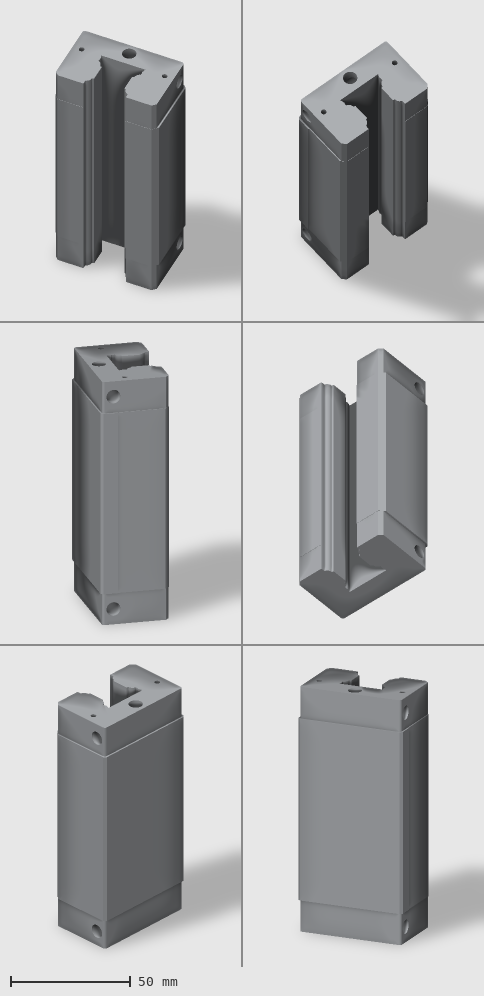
import cadquery as cq
import math


LENGTH = 107.3
CAP_LENGTH = 13.8

BLOCK_WIDTH = 48.0
BLOCK_HALF_WIDTH = BLOCK_WIDTH / 2
BLOCK_HEIGHT = 29.9
BLOCK_TOP_CHAMFER = 1.1
RELIEF_DEPTH = 0.3
RELIEF_HEIGHT = 22.6

CAP_WIDTH = 46.5
CAP_HALF_WIDTH = CAP_WIDTH / 2
CAP_HEIGHT = 29.2
CAP_TOP_RADIUS = 1.1

FOOT_HALF_WIDTH = 21.6
CAP_FOOT_SETBACK = 0.1

CHANNEL_HEIGHT = 18.6
CHANNEL_TOP_HALF_WIDTH = 10.2
LEDGE_HALF_WIDTH = 9.5
LEDGE_HEIGHT = 16.6
LEDGE_DROP = 0.4
WALL_HALF_WIDTH = 9.8
LIP_HALF_WIDTH = 7.0
LIP_BEVEL_RISE = 0.3
LOBE_DIAMETER = 4.8
LOBE_RADIUS = LOBE_DIAMETER / 2
LOBE_CENTER_X = 10.3
LOWER_LOBE_Y = 4.4
UPPER_LOBE_Y = 12.7

PORT_DIAMETER = 6.0
PORT_HEIGHT = 24.5
PORT_INSET = 6.8

SCREW_DIAMETER = 2.4
SCREW_HALF_SPACING = 19.1
SCREW_HEIGHT = 18.5
SCREW_DEPTH = 6.4
SCREW_TIP_ANGLE = 118.0


def make_block():
    """Steel block with chamfered top corners, beveled feet and a stepped -X side."""
    relief_x = -(BLOCK_HALF_WIDTH - RELIEF_DEPTH)
    left_bevel = -relief_x - FOOT_HALF_WIDTH
    right_bevel = BLOCK_HALF_WIDTH - FOOT_HALF_WIDTH
    shoulder = BLOCK_HEIGHT - BLOCK_TOP_CHAMFER
    top_half_width = BLOCK_HALF_WIDTH - BLOCK_TOP_CHAMFER
    outline = [
        (-FOOT_HALF_WIDTH, 0),
        (FOOT_HALF_WIDTH, 0),
        (BLOCK_HALF_WIDTH, right_bevel),
        (BLOCK_HALF_WIDTH, shoulder),
        (top_half_width, BLOCK_HEIGHT),
        (-top_half_width, BLOCK_HEIGHT),
        (-BLOCK_HALF_WIDTH, shoulder),
        (-BLOCK_HALF_WIDTH, RELIEF_HEIGHT),
        (relief_x, RELIEF_HEIGHT),
        (relief_x, left_bevel),
    ]
    block_length = LENGTH - 2 * CAP_LENGTH
    return cq.Workplane("XY", origin=(0, 0, CAP_LENGTH)).polyline(outline).close().extrude(block_length)


def make_cap(base_z):
    """End cap with rounded top corners and beveled feet."""
    bevel_top = CAP_FOOT_SETBACK + CAP_HALF_WIDTH - FOOT_HALF_WIDTH
    outline = [
        (-FOOT_HALF_WIDTH, CAP_FOOT_SETBACK),
        (FOOT_HALF_WIDTH, CAP_FOOT_SETBACK),
        (CAP_HALF_WIDTH, bevel_top),
        (CAP_HALF_WIDTH, CAP_HEIGHT),
        (-CAP_HALF_WIDTH, CAP_HEIGHT),
        (-CAP_HALF_WIDTH, bevel_top),
    ]
    cap = cq.Workplane("XY", origin=(0, 0, base_z)).polyline(outline).close().extrude(CAP_LENGTH)
    return cap.edges("|Z and >Y").fillet(CAP_TOP_RADIUS)


def make_channel_half():
    """The +X half of the rail channel, bounded by two convex lobes and a lip between them."""
    wall_offset = LOBE_CENTER_X - WALL_HALF_WIDTH
    wall_rise = math.sqrt(LOBE_RADIUS**2 - wall_offset**2)
    upper_lobe_end = (WALL_HALF_WIDTH, UPPER_LOBE_Y + wall_rise)
    diagonal = LOBE_RADIUS * math.sqrt(0.5)
    lobe_tip_x = LOBE_CENTER_X - LOBE_RADIUS
    return (
        cq.Workplane("XY")
        .moveTo(0, 0)
        .lineTo(WALL_HALF_WIDTH, 0)
        .lineTo(WALL_HALF_WIDTH, LOWER_LOBE_Y - wall_rise)
        .threePointArc((LOBE_CENTER_X - diagonal, LOWER_LOBE_Y - diagonal), (lobe_tip_x, LOWER_LOBE_Y))
        .lineTo(LIP_HALF_WIDTH, LOWER_LOBE_Y + LIP_BEVEL_RISE)
        .lineTo(LIP_HALF_WIDTH, UPPER_LOBE_Y - LIP_BEVEL_RISE)
        .lineTo(lobe_tip_x, UPPER_LOBE_Y)
        .threePointArc((LOBE_CENTER_X - diagonal, UPPER_LOBE_Y + diagonal), upper_lobe_end)
        .lineTo(WALL_HALF_WIDTH, LEDGE_HEIGHT - LEDGE_DROP)
        .lineTo(LEDGE_HALF_WIDTH, LEDGE_HEIGHT)
        .lineTo(CHANNEL_TOP_HALF_WIDTH, CHANNEL_HEIGHT)
        .lineTo(0, CHANNEL_HEIGHT)
        .close()
        .extrude(LENGTH)
    )


def make_side_port(center_z):
    """Lubrication port running right across an end cap."""
    plane = cq.Workplane("YZ", origin=(-CAP_HALF_WIDTH, PORT_HEIGHT, center_z))
    return plane.circle(PORT_DIAMETER / 2).extrude(2 * CAP_HALF_WIDTH)


def make_end_port():
    """Lubrication port from the +Z end face to the axis of the side port."""
    plane = cq.Workplane("XY", origin=(0, PORT_HEIGHT, LENGTH - PORT_INSET))
    return plane.circle(PORT_DIAMETER / 2).extrude(PORT_INSET)


def make_screw_hole(x):
    """Blind drilled hole with a conical bottom, entering from the +Z end face."""
    radius = SCREW_DIAMETER / 2
    tip_length = radius / math.tan(math.radians(SCREW_TIP_ANGLE / 2))
    profile = [(0, 0), (radius, 0), (radius, -SCREW_DEPTH), (0, -SCREW_DEPTH - tip_length)]
    plane = cq.Workplane("XZ", origin=(x, SCREW_HEIGHT, LENGTH))
    return plane.polyline(profile).close().revolve(360, (0, 0), (0, 1))


carriage = make_block().union(make_cap(0)).union(make_cap(LENGTH - CAP_LENGTH))
channel_half = make_channel_half()
carriage = carriage.cut(channel_half).cut(channel_half.mirror("YZ"))

for port_z in (PORT_INSET, LENGTH - PORT_INSET):
    carriage = carriage.cut(make_side_port(port_z))
carriage = carriage.cut(make_end_port())

for screw_x in (-SCREW_HALF_SPACING, SCREW_HALF_SPACING):
    carriage = carriage.cut(make_screw_hole(screw_x))

result = carriage